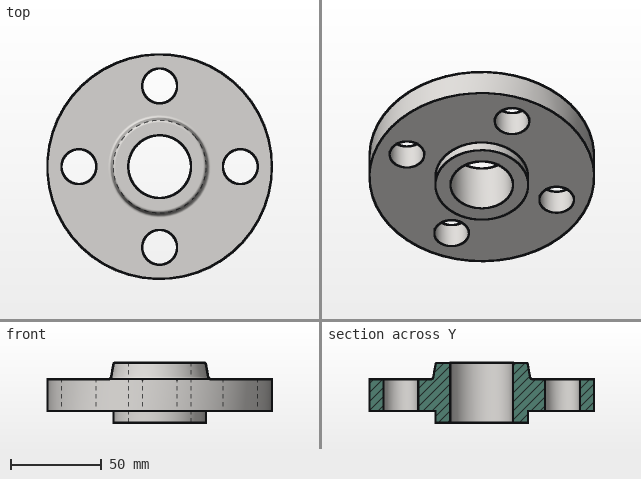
import cadquery as cq

flange_diameter = 123.9
flange_thickness = 17.6

face_diameter = 51.2
face_height = 6.5

hub_height = 9.2
hub_base_diameter = 54.0
hub_top_diameter = 50.8
hub_fillet = 1.5

bore_diameter = 34.5
bolt_hole_diameter = 19.1
bolt_circle_diameter = 89.0
bolt_count = 4

flange_bottom = face_height
flange_top = flange_bottom + flange_thickness
hub_top = flange_top + hub_height


def revolved_body():
    """Raised face, disc and tapered hub turned about the Z axis."""
    profile = (
        cq.Workplane("XZ")
        .moveTo(0, 0)
        .lineTo(face_diameter / 2, 0)
        .lineTo(face_diameter / 2, flange_bottom)
        .lineTo(flange_diameter / 2, flange_bottom)
        .lineTo(flange_diameter / 2, flange_top)
        .lineTo(hub_base_diameter / 2, flange_top)
        .lineTo(hub_top_diameter / 2, hub_top)
        .lineTo(0, hub_top)
        .close()
    )
    return profile.revolve(360, (0, 0, 0), (0, 1, 0))


def round_hub(body):
    """Round the hub's top edge and the corner where its cone meets the disc."""
    hub_edges = body.faces("%CONE").edges("%CIRCLE")
    return hub_edges.fillet(hub_fillet)


def cut_bore(body):
    """Central bore through the full height."""
    return body.cut(cq.Workplane("XY").circle(bore_diameter / 2).extrude(hub_top))


def cut_bolt_holes(body):
    """Bolt holes through the disc, lying on the X and Y axes."""
    holes = (
        cq.Workplane("XY")
        .workplane(offset=flange_bottom)
        .polarArray(bolt_circle_diameter / 2, 0, 360, bolt_count)
        .circle(bolt_hole_diameter / 2)
        .extrude(flange_thickness)
    )
    return body.cut(holes)


result = cut_bolt_holes(cut_bore(round_hub(revolved_body())))